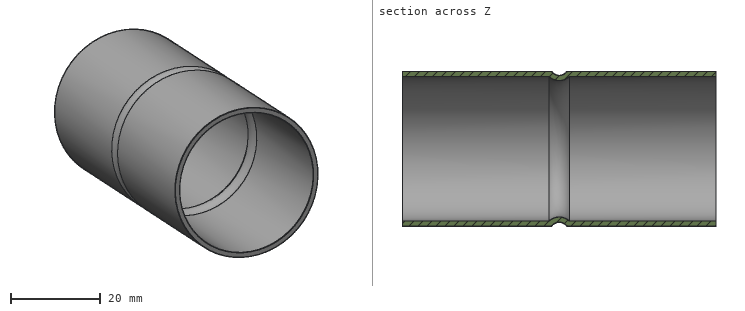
import cadquery as cq
import math

length = 70.0
outer_radius = 17.3
wall = 1.2
groove_width = 3.4
groove_depth = 0.9
end_chamfer = 0.1

inner_radius = outer_radius - wall
half_length = length / 2
chamfer_start = half_length - end_chamfer

groove_arc_radius = ((groove_width / 2) ** 2 + groove_depth ** 2) / (2 * groove_depth)
arc_center_radius = outer_radius - groove_depth + groove_arc_radius
bead_arc_radius = groove_arc_radius + wall


def arc_half_width(arc_radius, tube_radius):
    """Half the axial width of a rolled arc where it meets a tube surface."""
    return math.sqrt(arc_radius ** 2 - (arc_center_radius - tube_radius) ** 2)


def arc_point(arc_radius, x):
    """Point on the near-axis side of a rolled arc at axial position x."""
    return (x, arc_center_radius - math.sqrt(arc_radius ** 2 - x ** 2))


def add_rolled_arc(profile, arc_radius, tube_radius, direction):
    """Draw the straight run up to a rolled arc, then the arc in two halves.

    The direction is 1 when drawing toward +X and -1 when drawing toward -X.
    """
    edge = direction * arc_half_width(arc_radius, tube_radius)
    return (
        profile.lineTo(-edge, tube_radius)
        .threePointArc(arc_point(arc_radius, -edge / 2), arc_point(arc_radius, 0))
        .threePointArc(arc_point(arc_radius, edge / 2), (edge, tube_radius))
    )


def make_tube():
    """Revolve the wall section about the X axis."""
    profile = (
        cq.Workplane("XZ")
        .moveTo(-half_length, outer_radius - end_chamfer)
        .lineTo(-chamfer_start, outer_radius)
    )
    profile = add_rolled_arc(profile, groove_arc_radius, outer_radius, 1)
    profile = (
        profile.lineTo(chamfer_start, outer_radius)
        .lineTo(half_length, outer_radius - end_chamfer)
        .lineTo(half_length, inner_radius + end_chamfer)
        .lineTo(chamfer_start, inner_radius)
    )
    profile = add_rolled_arc(profile, bead_arc_radius, inner_radius, -1)
    profile = (
        profile.lineTo(-chamfer_start, inner_radius)
        .lineTo(-half_length, inner_radius + end_chamfer)
        .close()
    )
    return profile.revolve(axisStart=(0, 0, 0), axisEnd=(1, 0, 0))


result = make_tube()